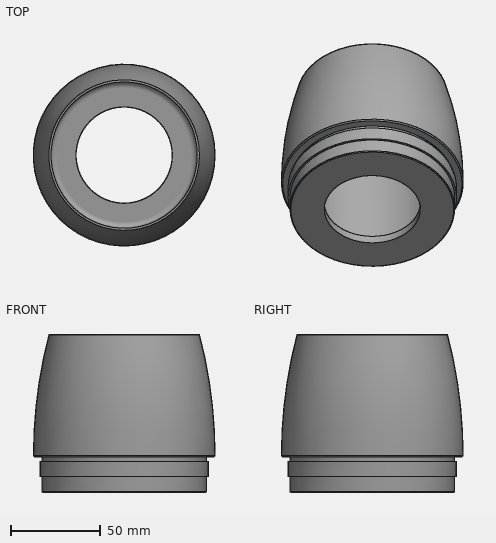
import cadquery as cq
import math

total_height = 88.6
body_bottom = 20.0
ring_top = 17.5
ring_bottom = 9.0
floor_thickness = 5.1

body_radius = 102.1 / 2
rim_radius = 84.5 / 2
ring_radius = 94.5 / 2
base_radius = 92.5 / 2
cavity_radius = 82.1 / 2
hole_radius = 53.9 / 2

body_chamfer = 0.7
base_chamfer = 0.5
floor_fillet = 3.3

arc_start = body_bottom + body_chamfer
arc_rise = total_height - arc_start
arc_inset = body_radius - rim_radius
arc_radius = (arc_rise**2 + arc_inset**2) / (2 * arc_inset)
half_sweep = math.asin(arc_rise / arc_radius) / 2
arc_middle = (
    body_radius - arc_radius * (1 - math.cos(half_sweep)),
    arc_start + arc_radius * math.sin(half_sweep),
)


def make_outer_solid():
    """Revolve the stepped base and the curved body around Z."""
    profile = (
        cq.Workplane("XZ")
        .lineTo(base_radius - base_chamfer, 0)
        .lineTo(base_radius, base_chamfer)
        .lineTo(base_radius, ring_bottom)
        .lineTo(ring_radius, ring_bottom)
        .lineTo(ring_radius, ring_top)
        .lineTo(base_radius, ring_top)
        .lineTo(base_radius, body_bottom)
        .lineTo(body_radius - body_chamfer, body_bottom)
        .lineTo(body_radius, arc_start)
        .threePointArc(arc_middle, (rim_radius, total_height))
        .lineTo(0, total_height)
        .close()
    )
    return profile.revolve(360, (0, 0, 0), (0, 1, 0))


def make_cavity():
    """Straight bore, open at the top, with a rounded floor corner."""
    bore = (
        cq.Workplane("XY", origin=(0, 0, floor_thickness))
        .circle(cavity_radius)
        .extrude(total_height - floor_thickness)
    )
    return bore.faces("<Z").edges().fillet(floor_fillet)


def make_floor_hole():
    """Round opening through the floor."""
    return cq.Workplane("XY").circle(hole_radius).extrude(total_height)


result = make_outer_solid().cut(make_cavity()).cut(make_floor_hole())